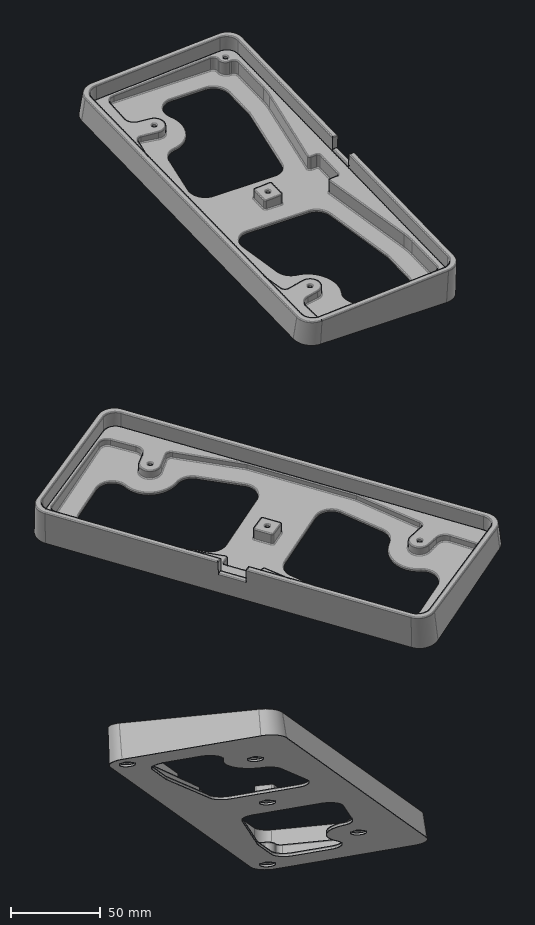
import cadquery as cq
import math

LENGTH = 246.2
WIDTH = 105.5
HEIGHT = 22.7
TILT = 4.0
FRONT_DRAFT = 5.0
REAR_DRAFT = 1.7
SIDE_DRAFT = 3.3
CORNER_R = 11.0
WALL = 3.7
FLOOR = 2.0
SHELF_Z = 12.5
EDGE_R = 0.6

SLOPE = 10.0
POCKET_LEFT = -116.2
POCKET_REAR = 45.5
POCKET_REAR_KINK_X = -74.9
POCKET_KINK_R = 41.9
POCKET_FRONT = -45.5
POCKET_FRONT_KINK_X = -33.5
POCKET_SIDE_FRONT = -33.7
POCKET_BOSS_FRONT = -34.5
POCKET_CORNER_R = 5.0
TAB_R = 1.5
BOSS_BLEND_R = 3.0
TAB_X = -2.5
TAB_WIDTH = 21.7
TAB_REAR = 41.4

OPENING_LEFT = -104.2
OPENING_RIGHT = -18.2
OPENING_REAR = 33.0
OPENING_REAR_KINK_X = -73.1
OPENING_FRONT = -36.0
OPENING_R = 9.4
OPENING_BOSS_R = 18.0

HOLE_D = 2.41
COUNTERBORE_D = 8.9
COUNTERBORE_DEPTH = 1.2
REAR_HOLE = (-112.3, 41.5)
REAR_BOSS_R = 4.5
FRONT_HOLE = (-82.5, -23.5)
FRONT_BOSS_R = 6.5
POST_LENGTH = 12.5
POST_WIDTH = 11.8
POST_CORNER_R = 1.2

NOTCH_X = TAB_X
NOTCH_WIDTH = 17.0
NOTCH_Z = 14.0

SIN_SLOPE = math.sin(math.radians(SLOPE))
COS_SLOPE = math.cos(math.radians(SLOPE))
TAN_SLOPE = math.tan(math.radians(SLOPE))
TILT_RAD = math.radians(TILT)
REAR_BOTTOM_Y = WIDTH / 2 - HEIGHT * math.tan(math.radians(TILT - REAR_DRAFT))
CENTER_Z = REAR_BOTTOM_Y * math.tan(TILT_RAD)
FLOOR_NORMAL = cq.Vector(0, math.sin(TILT_RAD), math.cos(TILT_RAD))
TALL = 39.5


def tilted(body):
    """Carry a body from the floor's own frame to its sloping place."""
    return body.rotate((0, 0, 0), (1, 0, 0), -TILT).translate((0, 0, CENTER_Z))


def level_slab(bottom, top):
    """Level slab wider than the part."""
    slab = cq.Workplane("XY").box(2 * LENGTH, 2 * LENGTH, top - bottom)
    return slab.translate((0, 0, (bottom + top) / 2))


def rounded_rectangle(left, right, front, rear, radius):
    sketch = cq.Sketch().push([((left + right) / 2, (front + rear) / 2)])
    return sketch.rect(right - left, rear - front).reset().vertices().fillet(radius)


def outer_block():
    """Rounded block standing on the floor plane, each wall with its own draft."""
    front = -WIDTH / 2 / math.cos(TILT_RAD)
    rear = REAR_BOTTOM_Y / math.cos(TILT_RAD)
    side = LENGTH / 2
    front_shift = TALL * math.tan(math.radians(FRONT_DRAFT))
    rear_shift = TALL * math.tan(math.radians(REAR_DRAFT))
    side_shift = TALL * math.tan(math.radians(SIDE_DRAFT))
    bottom = rounded_rectangle(-side, side, front, rear, CORNER_R)
    top = rounded_rectangle(side_shift - side, side - side_shift, front + front_shift,
                            rear - rear_shift, CORNER_R - side_shift)
    lift = cq.Location(cq.Vector(0, 0, TALL))
    return tilted(cq.Workplane("XY").placeSketch(bottom, top.moved(lift)).loft())


def cavity():
    """Upright-walled space above the shelf, one wall thickness inside the rim."""
    front_height = HEIGHT - CENTER_Z - WIDTH / 2 * math.tan(TILT_RAD)
    front = front_height * math.tan(math.radians(TILT + FRONT_DRAFT)) - WIDTH / 2 + WALL
    rear = WIDTH / 2 - WALL
    side = LENGTH / 2 - (HEIGHT - CENTER_Z) * math.tan(math.radians(SIDE_DRAFT)) - WALL
    outline = rounded_rectangle(-side, side, front, rear, CORNER_R - WALL)
    return cq.Workplane("XY").workplane(offset=SHELF_Z).placeSketch(outline).extrude(TALL)


def above_plate(depth):
    """Everything higher than a plane the given depth above the underside and parallel to it."""
    block = cq.Workplane("XY").box(2 * LENGTH, 2 * LENGTH, TALL, centered=(True, True, False))
    return tilted(block.translate((0, 0, depth)))


def rounded_polygon(corners):
    """Closed outline through (x, y, radius) corners, each rounded by a tangent arc."""
    path = None
    for i, (x, y, radius) in enumerate(corners):
        corner = cq.Vector(x, y)
        back = (cq.Vector(*corners[i - 1][:2]) - corner).normalized()
        ahead = (cq.Vector(*corners[(i + 1) % len(corners)][:2]) - corner).normalized()
        half_angle = back.getAngle(ahead) / 2
        reach = radius / math.tan(half_angle)
        start = corner + back * reach
        end = corner + ahead * reach
        toward_arc = (back + ahead).normalized()
        middle = corner + toward_arc * (radius / math.sin(half_angle) - radius)
        if path is None:
            path = cq.Workplane("XY").moveTo(start.x, start.y)
        elif (start - last).Length > 2.46e-06:
            path = path.lineTo(start.x, start.y)
        if radius > 0:
            path = path.threePointArc((middle.x, middle.y), (end.x, end.y))
        last = end
    return path.close()


def pocket_half():
    """Corners of the left half of the pocket from front to rear, without the tab."""
    hole_x, hole_y = FRONT_HOLE
    r = FRONT_BOSS_R

    def on_boss(across, along):
        """Point beside the front hole, in the directions of the slanting side and of the boss."""
        return (hole_x + across * COS_SLOPE + along * SIN_SLOPE,
                hole_y - across * SIN_SLOPE + along * COS_SLOPE)

    slant_y = POCKET_FRONT + (POCKET_FRONT_KINK_X - hole_x) * TAN_SLOPE
    boss_length = (hole_y - slant_y) * COS_SLOPE
    left_length = (hole_y - POCKET_BOSS_FRONT + r * SIN_SLOPE) / COS_SLOPE
    rear_x = REAR_HOLE[0] + REAR_BOSS_R
    rear_y = REAR_HOLE[1] - REAR_BOSS_R
    return [
        (POCKET_FRONT_KINK_X, POCKET_FRONT, 0),
        (*on_boss(r, -boss_length), BOSS_BLEND_R),
        (*on_boss(r, r), r),
        (*on_boss(-r, r), r),
        (*on_boss(-r, -left_length), 2 * BOSS_BLEND_R),
        (POCKET_LEFT, POCKET_SIDE_FRONT, POCKET_CORNER_R),
        (POCKET_LEFT, rear_y, BOSS_BLEND_R),
        (rear_x, rear_y, REAR_BOSS_R),
        (rear_x, POCKET_REAR, BOSS_BLEND_R),
        (POCKET_REAR_KINK_X, POCKET_REAR, POCKET_KINK_R),
    ]


def pocket_tool():
    """Pocket with the tab recess at its rear and the centre post left standing."""
    half = pocket_half()
    tab = []
    for x, side in ((TAB_X - TAB_WIDTH / 2, -1), (TAB_X + TAB_WIDTH / 2, 1)):
        slant_y = POCKET_REAR + (POCKET_REAR_KINK_X + abs(x)) * TAN_SLOPE
        ends = [(x, slant_y, TAB_R), (x, TAB_REAR, TAB_R)]
        tab += ends if side < 0 else ends[::-1]
    other_half = [(-x, y, radius) for x, y, radius in reversed(half)]
    tool = rounded_polygon(half + tab + other_half).extrude(TALL)
    post = cq.Workplane("XY").rect(POST_LENGTH, POST_WIDTH).extrude(TALL)
    post = post.edges("|Z").fillet(POST_CORNER_R)
    tool = tool.cut(post).intersect(above_plate(FLOOR)).intersect(level_slab(0, SHELF_Z))
    return tool.faces(cq.selectors.DirectionSelector(-FLOOR_NORMAL)).edges().fillet(EDGE_R)


def opening_tool():
    """Left opening: the area swept by a disc of the corner radius that stays clear of the boss."""
    r = OPENING_R
    left, right, rear = OPENING_LEFT + r, OPENING_RIGHT - r, OPENING_REAR - r
    slant_step = r / COS_SLOPE
    rear_drop = (OPENING_RIGHT - OPENING_REAR_KINK_X) * TAN_SLOPE
    rear_right = OPENING_REAR - rear_drop + r * TAN_SLOPE - slant_step
    front_right = OPENING_FRONT + r * TAN_SLOPE + slant_step
    front_left = front_right + (right - left) * TAN_SLOPE
    kink_x = OPENING_REAR_KINK_X - r * math.tan(math.radians(SLOPE / 2))
    center_area = cq.Workplane("XY").polyline([
        (left, front_left), (right, front_right), (right, rear_right), (kink_x, rear), (left, rear),
    ]).close().extrude(TALL)
    boss = cq.Workplane("XY").center(*FRONT_HOLE).circle(OPENING_BOSS_R + r).extrude(TALL)
    path = center_area.cut(boss).faces("<Z").val().outerWire()
    outline = path.offset2D(r)[0]
    return cq.Workplane("XY").add(outline).toPending().extrude(SHELF_Z)


def screw_hole(x, y):
    """Through hole with a counterbore in the underside."""
    point = cq.Workplane("XY").center(x, y)
    counterbore = point.circle(COUNTERBORE_D / 2).extrude(TALL).cut(above_plate(COUNTERBORE_DEPTH))
    return point.circle(HOLE_D / 2).extrude(TALL).union(counterbore)


body = outer_block().intersect(level_slab(0, HEIGHT))
body = body.cut(cavity())

notch = cq.Workplane("XY").box(NOTCH_WIDTH, 4 * WALL, TALL, centered=(True, True, False))
body = body.cut(notch.translate((NOTCH_X, WIDTH / 2, NOTCH_Z)))
body = body.faces(">Z").edges().fillet(EDGE_R)
notch_box = cq.selectors.BoxSelector(
    (NOTCH_X - NOTCH_WIDTH, 0, NOTCH_Z - EDGE_R / 2),
    (NOTCH_X + NOTCH_WIDTH, WIDTH, NOTCH_Z + EDGE_R / 2))
body = body.edges(notch_box).edges("|X").fillet(EDGE_R)

body = body.cut(pocket_tool())
mouth = []
for face in body.faces("|Z").vals():
    if abs(face.Center().z - SHELF_Z) < EDGE_R / 2:
        is_post = face.Area() < POST_LENGTH * POST_WIDTH
        mouth += [face.outerWire()] if is_post else face.innerWires()
body = body.newObject([edge for wire in mouth for edge in wire.Edges()]).fillet(EDGE_R)

opening = opening_tool()
body = body.cut(opening).cut(opening.mirror("YZ"))
floor_face = body.faces(cq.selectors.DirectionSelector(FLOOR_NORMAL)).val()
opening_edges = []
for wire in floor_face.innerWires():
    if wire.BoundingBox().xlen > 2 * POST_LENGTH:
        opening_edges += wire.Edges()
body = body.newObject(opening_edges).fillet(EDGE_R)

for x, y in (REAR_HOLE, FRONT_HOLE):
    body = body.cut(screw_hole(x, y)).cut(screw_hole(-x, y))
body = body.cut(screw_hole(0, 0))
mouth_rims = [
    edge for edge in body.edges("%CIRCLE").vals()
    if abs(edge.Center().z - SHELF_Z) < EDGE_R / 2 and abs(edge.radius() - HOLE_D / 2) < EDGE_R / 2
]
body = body.newObject(mouth_rims).fillet(EDGE_R)

result = body